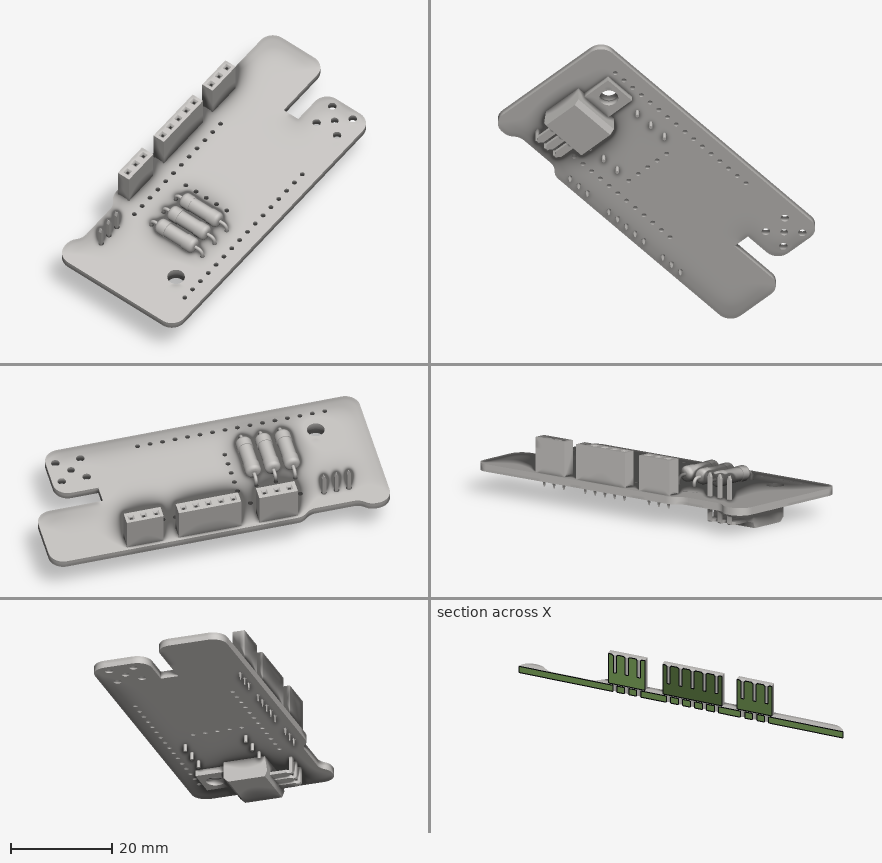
import cadquery as cq
import math


RIGHT_COLUMN_COUNT = 16
RIGHT_COLUMN_SPAN = 38.1
PITCH = RIGHT_COLUMN_SPAN / (RIGHT_COLUMN_COUNT - 1)
CUT_MARGIN = 0.7

BOARD_LENGTH = 69.4
BOARD_WIDTH = 29.5
BOARD_THICKNESS = 1.5
CORNER_RADIUS = 3.0
TONGUE_WIDTH = 14.0
TAB_LEFT = 17.6
TAB_TOP = 64.0
SLOT_BOTTOM = 55.5
RECESS_DEPTH = 1.7
RECESS_LOW = 3.5
RECESS_HIGH = 19.5
RECESS_BLEND_RADIUS = 3.0

TAB_HOLE_DIAMETER = 1.7
TAB_CENTER_HOLE_DIAMETER = 1.5
TAB_HOLE_CENTER = (23.6, 59.55)
TAB_HOLE_SPACING = 2 * PITCH

MOUNT_HOLE_DIAMETER = 3.5
MOUNT_HOLE_CENTER = (22.1, 10.1)

COLUMN_HOLE_DIAMETER = 1.0
LEFT_COLUMN_START = (6.2, 17.35)
LEFT_COLUMN_COUNT = 12
RIGHT_COLUMN_START = (26.5, 7.15)
ROW_HOLE_DIAMETER = 1.0
ROW_START = (9.9, 29.15)
ROW_COUNT = 5

SOCKETS = [
    (3, 1.95, 50.3, 2.6, 7.5),
    (5, 1.95, 37.1, 2.6, 12.7),
    (3, 2.0, 23.2, 2.8, 7.85),
]
SOCKET_HEIGHT = 7.1
SOCKET_GROOVE_DEPTH = 0.2
SOCKET_GROOVE_WALL = 0.35
SOCKET_MOUTH = 1.25
SOCKET_MOUTH_DEPTH = 0.35
SOCKET_BORE = 0.55
SOCKET_BORE_DEPTH = 4.15
SOCKET_PIN_WIDTH = 0.6
SOCKET_PIN_THICKNESS = 0.15
SOCKET_PIN_TIP_WIDTH = 0.2
SOCKET_PIN_TIP_LENGTH = 0.7
SOCKET_PIN_HOLE_DIAMETER = 0.8
PIN_TIP_Z = -3.0

RESISTOR_CENTER_X = 16.8
RESISTOR_CENTERS_Y = [25.2, 21.2, 17.3]
RESISTOR_AXIS_Z = 1.7
RESISTOR_CAP_DIAMETER = 3.2
RESISTOR_BODY_DIAMETER = 2.9
RESISTOR_LENGTH = 9.2
RESISTOR_BODY_LENGTH = 4.45
RESISTOR_END_RADIUS = 0.8
LEAD_DIAMETER = 0.7
LEAD_SPACING = 12.6
LEAD_BEND_RADIUS = 1.05
LEAD_HOLE_DIAMETER = 0.8

CONNECTOR_PIN_COUNT = 3
CONNECTOR_CENTER_Y = 10.2
CONNECTOR_LENGTH = 10.35
CONNECTOR_GAP = 0.15
CONNECTOR_BOTTOM = -6.05
CONNECTOR_BACK_TOP_X = 9.9
CONNECTOR_BACK_X = 9.45
CONNECTOR_RIDGE_Z = -4.85
CONNECTOR_FRONT_X = 18.6
CONNECTOR_CHAMFER = 1.0
TONGUE_PLATE_END_X = 25.0
TONGUE_PLATE_THICKNESS = 1.25
TONGUE_PLATE_WIDTH = 6.95
CONNECTOR_PIN_WIDTH = 0.75
CONNECTOR_PIN_THICKNESS = 0.6
CONNECTOR_PIN_X = 5.35
CONNECTOR_PIN_Z = -4.7
CONNECTOR_PIN_TOP = 4.85
CONNECTOR_PIN_TIP_LENGTH = 0.8
CONNECTOR_PIN_TIP_WIDTH = 0.1
CONNECTOR_PIN_HOLE_DIAMETER = 1.1
ELBOW_CHAMFER = 0.3
TONGUE_HOLE_DIAMETER = 3.75
LEVEL_LEG_WIDTH = 1.7
LEVEL_LEG_FLARE_LENGTH = 0.5


def centered_steps(count):
    """Offsets of `count` places spaced by PITCH and centered on zero."""
    return [(i - (count - 1) / 2) * PITCH for i in range(count)]


def socket_pin_points():
    return [(x, y + step) for count, x, y, _, _ in SOCKETS for step in centered_steps(count)]


def lead_points():
    half = LEAD_SPACING / 2
    return [(RESISTOR_CENTER_X + side * half, y) for y in RESISTOR_CENTERS_Y for side in (-1, 1)]


def connector_pin_points():
    steps = centered_steps(CONNECTOR_PIN_COUNT)
    return [(CONNECTOR_PIN_X, CONNECTOR_CENTER_Y + step) for step in steps]


def board_outline():
    """Board outline; its convex corners are rounded after extrusion."""
    half_depth = RECESS_DEPTH / 2
    blend = math.sqrt(RECESS_BLEND_RADIUS**2 - (RECESS_BLEND_RADIUS - half_depth) ** 2)
    return (
        cq.Workplane("XY", origin=(0, 0, -BOARD_THICKNESS))
        .moveTo(0, 0)
        .lineTo(BOARD_WIDTH, 0)
        .lineTo(BOARD_WIDTH, TAB_TOP)
        .lineTo(TAB_LEFT, TAB_TOP)
        .lineTo(TAB_LEFT, SLOT_BOTTOM)
        .lineTo(TONGUE_WIDTH, SLOT_BOTTOM)
        .lineTo(TONGUE_WIDTH, BOARD_LENGTH)
        .lineTo(0, BOARD_LENGTH)
        .lineTo(0, RECESS_HIGH)
        .radiusArc((half_depth, RECESS_HIGH - blend), -RECESS_BLEND_RADIUS)
        .radiusArc((RECESS_DEPTH, RECESS_HIGH - 2 * blend), RECESS_BLEND_RADIUS)
        .lineTo(RECESS_DEPTH, RECESS_LOW + 2 * blend)
        .radiusArc((half_depth, RECESS_LOW + blend), RECESS_BLEND_RADIUS)
        .radiusArc((0, RECESS_LOW), -RECESS_BLEND_RADIUS)
        .close()
    )


def round_corners(board):
    corners = [
        (0, 0),
        (BOARD_WIDTH, 0),
        (BOARD_WIDTH, TAB_TOP),
        (TAB_LEFT, TAB_TOP),
        (TONGUE_WIDTH, BOARD_LENGTH),
        (0, BOARD_LENGTH),
    ]
    for x, y in corners:
        board = board.edges(cq.NearestToPointSelector((x, y, -BOARD_THICKNESS / 2))).fillet(CORNER_RADIUS)
    return board


def drill(board, points, diameter):
    cutter = (
        cq.Workplane("XY", origin=(0, 0, CUT_MARGIN))
        .pushPoints(points)
        .circle(diameter / 2)
        .extrude(-BOARD_THICKNESS - 2 * CUT_MARGIN)
    )
    return board.cut(cutter)


def make_board():
    board = round_corners(board_outline().extrude(BOARD_THICKNESS))

    tab_x, tab_y = TAB_HOLE_CENTER
    half = TAB_HOLE_SPACING / 2
    tab_points = [(tab_x + i * half, tab_y + j * half) for i in (-1, 1) for j in (-1, 1)]
    board = drill(board, tab_points, TAB_HOLE_DIAMETER)
    board = drill(board, [TAB_HOLE_CENTER], TAB_CENTER_HOLE_DIAMETER)
    board = drill(board, [MOUNT_HOLE_CENTER], MOUNT_HOLE_DIAMETER)

    columns = [(LEFT_COLUMN_START, LEFT_COLUMN_COUNT), (RIGHT_COLUMN_START, RIGHT_COLUMN_COUNT)]
    column_points = [(x, y + i * PITCH) for (x, y), count in columns for i in range(count)]
    board = drill(board, column_points, COLUMN_HOLE_DIAMETER)
    row_x, row_y = ROW_START
    row_points = [(row_x + i * PITCH, row_y) for i in range(ROW_COUNT)]
    board = drill(board, row_points, ROW_HOLE_DIAMETER)

    board = drill(board, socket_pin_points(), SOCKET_PIN_HOLE_DIAMETER)
    board = drill(board, lead_points(), LEAD_HOLE_DIAMETER)
    return drill(board, connector_pin_points(), CONNECTOR_PIN_HOLE_DIAMETER)


def socket_opening(x, y):
    """Square bore with a tapered lead-in at the top of a socket."""
    mouth = (
        cq.Workplane("XY", origin=(x, y, SOCKET_HEIGHT))
        .rect(SOCKET_MOUTH, SOCKET_MOUTH)
        .workplane(offset=-SOCKET_MOUTH_DEPTH)
        .rect(SOCKET_BORE, SOCKET_BORE)
        .loft(ruled=True)
    )
    bore = (
        cq.Workplane("XY", origin=(x, y, SOCKET_HEIGHT - SOCKET_BORE_DEPTH))
        .rect(SOCKET_BORE, SOCKET_BORE)
        .extrude(SOCKET_BORE_DEPTH)
    )
    return mouth.union(bore)


def socket_pin(x, y):
    """Flat pin below a socket, narrowing across Y to its tip."""
    half_width = SOCKET_PIN_WIDTH / 2
    half_tip = SOCKET_PIN_TIP_WIDTH / 2
    shoulder = PIN_TIP_Z + SOCKET_PIN_TIP_LENGTH
    return (
        cq.Workplane("YZ", origin=(x, y, 0))
        .polyline([
            (-half_width, SOCKET_GROOVE_DEPTH),
            (-half_width, shoulder),
            (-half_tip, PIN_TIP_Z),
            (half_tip, PIN_TIP_Z),
            (half_width, shoulder),
            (half_width, SOCKET_GROOVE_DEPTH),
        ])
        .close()
        .extrude(SOCKET_PIN_THICKNESS / 2, both=True)
    )


def make_socket(count, x, y, width, length):
    base = cq.Workplane("XY", origin=(x, y, 0))
    socket = base.rect(width, length).extrude(SOCKET_HEIGHT)
    groove = base.rect(width - 2 * SOCKET_GROOVE_WALL, length).extrude(SOCKET_GROOVE_DEPTH)
    socket = socket.cut(groove)
    for step in centered_steps(count):
        socket = socket.cut(socket_opening(x, y + step))
        socket = socket.union(socket_pin(x, y + step))
    return socket


def resistor_lead(y):
    """One wire running down, along the resistor axis and down again."""
    left = RESISTOR_CENTER_X - LEAD_SPACING / 2
    right = RESISTOR_CENTER_X + LEAD_SPACING / 2
    bend_start = RESISTOR_AXIS_Z - LEAD_BEND_RADIUS
    path = (
        cq.Workplane("XZ", origin=(0, y, 0))
        .moveTo(left, PIN_TIP_Z)
        .lineTo(left, bend_start)
        .radiusArc((left + LEAD_BEND_RADIUS, RESISTOR_AXIS_Z), LEAD_BEND_RADIUS)
        .lineTo(right - LEAD_BEND_RADIUS, RESISTOR_AXIS_Z)
        .radiusArc((right, bend_start), LEAD_BEND_RADIUS)
        .lineTo(right, PIN_TIP_Z)
    )
    section = cq.Workplane("XY", origin=(left, y, PIN_TIP_Z)).circle(LEAD_DIAMETER / 2)
    return section.sweep(path)


def make_resistor(y):
    half_length = RESISTOR_LENGTH / 2
    body = (
        cq.Workplane("YZ", origin=(RESISTOR_CENTER_X, y, RESISTOR_AXIS_Z))
        .circle(RESISTOR_BODY_DIAMETER / 2)
        .extrude(RESISTOR_BODY_LENGTH / 2, both=True)
    )
    cap_length = half_length - RESISTOR_BODY_LENGTH / 2
    for side, outer_face in ((-1, "<X"), (1, ">X")):
        inner_x = RESISTOR_CENTER_X + side * RESISTOR_BODY_LENGTH / 2
        cap = (
            cq.Workplane("YZ", origin=(inner_x, y, RESISTOR_AXIS_Z))
            .circle(RESISTOR_CAP_DIAMETER / 2)
            .extrude(side * cap_length)
            .faces(outer_face)
            .edges()
            .fillet(RESISTOR_END_RADIUS)
        )
        body = body.union(cap)
    return body.union(resistor_lead(y))


def connector_housing():
    """Block with a thin tongue plate, which has a hole below the board's mounting hole."""
    top = -BOARD_THICKNESS - CONNECTOR_GAP
    block = (
        cq.Workplane("XZ", origin=(0, CONNECTOR_CENTER_Y, 0))
        .polyline([
            (CONNECTOR_BACK_TOP_X, top),
            (CONNECTOR_FRONT_X, top),
            (CONNECTOR_FRONT_X, CONNECTOR_BOTTOM + CONNECTOR_CHAMFER),
            (CONNECTOR_FRONT_X - CONNECTOR_CHAMFER, CONNECTOR_BOTTOM),
            (CONNECTOR_BACK_TOP_X, CONNECTOR_BOTTOM),
            (CONNECTOR_BACK_X, CONNECTOR_RIDGE_Z),
        ])
        .close()
        .extrude(CONNECTOR_LENGTH / 2, both=True)
    )
    tongue_plate = (
        cq.Workplane("XY", origin=(CONNECTOR_FRONT_X, CONNECTOR_CENTER_Y, top))
        .rect(2 * (TONGUE_PLATE_END_X - CONNECTOR_FRONT_X), TONGUE_PLATE_WIDTH)
        .extrude(-TONGUE_PLATE_THICKNESS)
    )
    tongue_hole = (
        cq.Workplane("XY", origin=(*MOUNT_HOLE_CENTER, top))
        .circle(TONGUE_HOLE_DIAMETER / 2)
        .extrude(-TONGUE_PLATE_THICKNESS)
    )
    return block.union(tongue_plate).cut(tongue_hole)


def upright_leg(y):
    """Rectangular leg through the board, narrowing across Y to a wedge tip."""
    half_width = CONNECTOR_PIN_WIDTH / 2
    half_tip = CONNECTOR_PIN_TIP_WIDTH / 2
    shoulder = CONNECTOR_PIN_TOP - CONNECTOR_PIN_TIP_LENGTH
    leg_bottom = CONNECTOR_PIN_Z - CONNECTOR_PIN_THICKNESS / 2
    return (
        cq.Workplane("YZ", origin=(CONNECTOR_PIN_X, y, 0))
        .polyline([
            (-half_width, leg_bottom),
            (half_width, leg_bottom),
            (half_width, shoulder),
            (half_tip, CONNECTOR_PIN_TOP),
            (-half_tip, CONNECTOR_PIN_TOP),
            (-half_width, shoulder),
        ])
        .close()
        .extrude(CONNECTOR_PIN_THICKNESS / 2, both=True)
    )


def level_leg(y):
    """Flat leg that starts as wide as the upright leg and flares before it enters the housing."""
    half_narrow = CONNECTOR_PIN_WIDTH / 2
    half_wide = LEVEL_LEG_WIDTH / 2
    flare_start = CONNECTOR_PIN_THICKNESS / 2
    flare_end = flare_start + LEVEL_LEG_FLARE_LENGTH
    leg_end = CONNECTOR_BACK_TOP_X - CONNECTOR_PIN_X
    return (
        cq.Workplane("XY", origin=(CONNECTOR_PIN_X, y, CONNECTOR_PIN_Z))
        .polyline([
            (0, -half_narrow),
            (flare_start, -half_narrow),
            (flare_end, -half_wide),
            (leg_end, -half_wide),
            (leg_end, half_wide),
            (flare_end, half_wide),
            (flare_start, half_narrow),
            (0, half_narrow),
        ])
        .close()
        .extrude(CONNECTOR_PIN_THICKNESS / 2, both=True)
    )


def connector_pin(y):
    """L-shaped pin with a chamfer along the outside of its elbow."""
    half_thickness = CONNECTOR_PIN_THICKNESS / 2
    elbow = (CONNECTOR_PIN_X - half_thickness, y, CONNECTOR_PIN_Z - half_thickness)
    pin = upright_leg(y).union(level_leg(y))
    return pin.edges(cq.NearestToPointSelector(elbow)).chamfer(ELBOW_CHAMFER)


def make_connector():
    connector = connector_housing()
    for _, y in connector_pin_points():
        connector = connector.union(connector_pin(y))
    return connector


board = make_board()
sockets = [make_socket(*socket) for socket in SOCKETS]
resistors = [make_resistor(y) for y in RESISTOR_CENTERS_Y]
connector = make_connector()

bodies = [board, *sockets, *resistors, connector]
result = cq.Compound.makeCompound([body.val() for body in bodies])